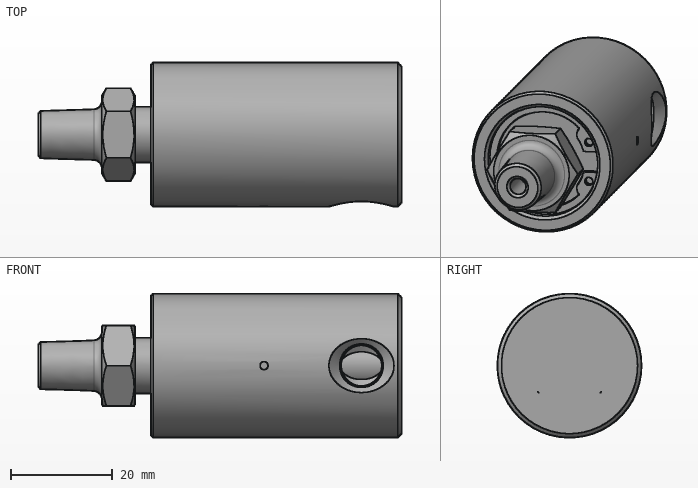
import cadquery as cq
import math

TOTAL_LENGTH = 71.48
FILLET_START_X = 10.87
HEX_START_X = 12.5
HEX_END_X = 19.05
BODY_START_X = 22.15

STEM_TIP_DIAMETER = 9.33
STEM_TAPER = 1 / 16
STEM_TIP_CHAMFER_LENGTH = 0.45
STEM_TIP_FACE_DIAMETER = 8.2
STEM_HOLE_DIAMETER = 3.2
STEM_HOLE_DEPTH = 10.0
STEM_COUNTERSINK_DIAMETER = 4.3

HEX_SIDES = 6
HEX_ACROSS_FLATS = 15.875
HEX_FACE_DIAMETER = 15.2
HEX_CHAMFER_ANGLE = 30.0
SHAFT_DIAMETER = 11.0

BODY_DIAMETER = 28.37
FRONT_CHAMFER = 0.45
REAR_CHAMFER = 0.8
BORE_DIAMETER = 22.07
BORE_MOUTH_DIAMETER = 23.3
BORE_DEPTH = 3.4

RING_THICKNESS = 1.2
RING_INNER_DIAMETER = 19.3
LUG_INNER_RADIUS = 8.1
RING_GAP = 4.14
LUG_INNER_END_ANGLE = 36.0
LUG_END_MIDDLE_RADIUS = 8.62
LUG_END_MIDDLE_ANGLE = 41.05
LUG_OUTER_END_ANGLE = 44.1
LUG_HOLE_DIAMETER = 1.6
LUG_HOLE_RADIUS = 9.72
LUG_HOLE_ANGLE = 23.8

PORT_X = 63.55
PORT_MOUTH_DIAMETER = 8.57
PORT_END_DIAMETER = 7.95
PORT_COUNTERSINK_ANGLE = 94.0
PORT_DRILL_ANGLE = 118.0
PORT_DRILL_DEPTH = 9.85
PORT_COUNTERSINK_REACH = 6.4
INNER_SHAFT_DIAMETER = 9.0
SIDE_HOLE_X = 44.4
SIDE_HOLE_DIAMETER = 1.57
SIDE_HOLE_DEPTH = 2.0

BODY_RADIUS = BODY_DIAMETER / 2
BORE_RADIUS = BORE_DIAMETER / 2
SHAFT_RADIUS = SHAFT_DIAMETER / 2
BORE_FLOOR_X = BODY_START_X + BORE_DEPTH


def revolve_about_x(outline):
    """Solid of revolution of an open half profile lying in the XY plane."""
    return outline.close().revolve(360, (0, 0, 0), (1, 0, 0))


def cylinder_along_x(start_x, end_x, radius):
    return cq.Workplane("YZ", origin=(start_x, 0, 0)).circle(radius).extrude(end_x - start_x)


def polar(radius, angle):
    """Point in the YZ plane, with the angle measured from -Y towards +Z."""
    radians = math.radians(angle)
    return (-radius * math.cos(radians), radius * math.sin(radians))


def make_body():
    """Cylindrical housing with a chamfered bore mouth at its front end."""
    body = cylinder_along_x(BODY_START_X, TOTAL_LENGTH, BODY_RADIUS)
    body = body.faces("<X").chamfer(FRONT_CHAMFER)
    body = body.faces(">X").chamfer(REAR_CHAMFER)
    mouth_radius = BORE_MOUTH_DIAMETER / 2
    mouth_chamfer = mouth_radius - BORE_RADIUS
    bore = revolve_about_x(
        cq.Workplane("XY")
        .moveTo(BODY_START_X, 0)
        .lineTo(BODY_START_X, mouth_radius)
        .lineTo(BODY_START_X + mouth_chamfer, BORE_RADIUS)
        .lineTo(BORE_FLOOR_X, BORE_RADIUS)
        .lineTo(BORE_FLOOR_X, 0)
    )
    return body.cut(bore)


def make_lug(ring_plane):
    """Thickened end of the retaining ring on the +Z side of its gap, with a pliers hole."""
    half_gap = RING_GAP / 2
    inner_gap_angle = math.degrees(math.asin(half_gap / LUG_INNER_RADIUS))
    outer_gap_angle = math.degrees(math.asin(half_gap / BORE_RADIUS))
    inner_mid_angle = (inner_gap_angle + LUG_INNER_END_ANGLE) / 2
    outer_mid_angle = (outer_gap_angle + LUG_OUTER_END_ANGLE) / 2
    lug = (
        ring_plane.moveTo(*polar(LUG_INNER_RADIUS, inner_gap_angle))
        .threePointArc(
            polar(LUG_INNER_RADIUS, inner_mid_angle),
            polar(LUG_INNER_RADIUS, LUG_INNER_END_ANGLE),
        )
        .threePointArc(
            polar(LUG_END_MIDDLE_RADIUS, LUG_END_MIDDLE_ANGLE),
            polar(RING_INNER_DIAMETER / 2, LUG_OUTER_END_ANGLE),
        )
        .lineTo(*polar(BORE_RADIUS, LUG_OUTER_END_ANGLE))
        .threePointArc(
            polar(BORE_RADIUS, outer_mid_angle),
            polar(BORE_RADIUS, outer_gap_angle),
        )
        .close()
        .extrude(RING_THICKNESS)
    )
    hole = (
        ring_plane.moveTo(*polar(LUG_HOLE_RADIUS, LUG_HOLE_ANGLE))
        .circle(LUG_HOLE_DIAMETER / 2)
        .extrude(RING_THICKNESS)
    )
    return lug.cut(hole)


def make_retaining_ring():
    """Open ring resting on the bore floor, with a lug on each side of its gap."""
    ring_plane = cq.Workplane("YZ", origin=(BORE_FLOOR_X - RING_THICKNESS, 0, 0))
    ring = ring_plane.circle(BORE_RADIUS).circle(RING_INNER_DIAMETER / 2).extrude(RING_THICKNESS)
    lug_sector = (
        ring_plane.moveTo(0, 0)
        .lineTo(*polar(BORE_DIAMETER, LUG_OUTER_END_ANGLE))
        .lineTo(*polar(BORE_DIAMETER, -LUG_OUTER_END_ANGLE))
        .close()
        .extrude(RING_THICKNESS)
    )
    upper_lug = make_lug(ring_plane)
    lower_lug = upper_lug.mirror("XY")
    return ring.cut(lug_sector).union(upper_lug).union(lower_lug)


def make_stem():
    """Tapered stem that flares into the hexagon through a concave fillet."""
    tip_radius = STEM_TIP_DIAMETER / 2
    root_radius = tip_radius + FILLET_START_X * STEM_TAPER / 2
    fillet_radius = HEX_START_X - FILLET_START_X
    chamfer_end_radius = tip_radius + STEM_TIP_CHAMFER_LENGTH * STEM_TAPER / 2
    arc_offset = fillet_radius * math.sqrt(0.5)
    arc_middle = (FILLET_START_X + arc_offset, root_radius + fillet_radius - arc_offset)
    return revolve_about_x(
        cq.Workplane("XY")
        .moveTo(0, 0)
        .lineTo(0, STEM_TIP_FACE_DIAMETER / 2)
        .lineTo(STEM_TIP_CHAMFER_LENGTH, chamfer_end_radius)
        .lineTo(FILLET_START_X, root_radius)
        .threePointArc(arc_middle, (HEX_START_X, root_radius + fillet_radius))
        .lineTo(HEX_START_X, 0)
    )


def make_hexagon():
    """Hexagon with corners on +Y and -Y, chamfered by a cone at both ends."""
    corner_diameter = HEX_ACROSS_FLATS / math.cos(math.pi / HEX_SIDES)
    corner_radius = corner_diameter / 2
    face_radius = HEX_FACE_DIAMETER / 2
    chamfer_length = (corner_radius - face_radius) * math.tan(math.radians(HEX_CHAMFER_ANGLE))
    prism = (
        cq.Workplane("YZ", origin=(HEX_START_X, 0, 0))
        .polygon(HEX_SIDES, corner_diameter)
        .extrude(HEX_END_X - HEX_START_X)
    )
    envelope = revolve_about_x(
        cq.Workplane("XY")
        .moveTo(HEX_START_X, 0)
        .lineTo(HEX_START_X, face_radius)
        .lineTo(HEX_START_X + chamfer_length, corner_radius)
        .lineTo(HEX_END_X - chamfer_length, corner_radius)
        .lineTo(HEX_END_X, face_radius)
        .lineTo(HEX_END_X, 0)
    )
    return prism.intersect(envelope)


def make_stem_hole():
    """Blind centre hole with a 45 degree countersink at the stem tip."""
    hole_radius = STEM_HOLE_DIAMETER / 2
    countersink_radius = STEM_COUNTERSINK_DIAMETER / 2
    return revolve_about_x(
        cq.Workplane("XY")
        .moveTo(0, 0)
        .lineTo(0, countersink_radius)
        .lineTo(countersink_radius - hole_radius, hole_radius)
        .lineTo(STEM_HOLE_DEPTH, hole_radius)
        .lineTo(STEM_HOLE_DEPTH, 0)
    )


def make_port():
    """Countersunk, slightly tapered port with a drill point, stopping at the inner shaft."""
    mouth_radius = PORT_MOUTH_DIAMETER / 2
    half_angle = math.radians(PORT_COUNTERSINK_ANGLE / 2)
    countersink_depth = (PORT_COUNTERSINK_REACH - mouth_radius) / math.tan(half_angle)
    countersink_end_y = -BODY_RADIUS + countersink_depth
    cone_start_y = -BODY_RADIUS + PORT_DRILL_DEPTH
    end_radius = PORT_END_DIAMETER / 2
    cone_length = end_radius / math.tan(math.radians(PORT_DRILL_ANGLE / 2))
    port = (
        cq.Workplane("XY", origin=(PORT_X, 0, 0))
        .moveTo(0, -BODY_RADIUS)
        .lineTo(PORT_COUNTERSINK_REACH, -BODY_RADIUS)
        .lineTo(mouth_radius, countersink_end_y)
        .lineTo(end_radius, cone_start_y)
        .lineTo(0, cone_start_y + cone_length)
        .close()
        .revolve(360, (0, 0, 0), (0, 1, 0))
    )
    return port.cut(cylinder_along_x(BORE_FLOOR_X, TOTAL_LENGTH, INNER_SHAFT_DIAMETER / 2))


def make_side_hole():
    """Small blind hole on the port side of the housing."""
    return (
        cq.Workplane("XZ", origin=(SIDE_HOLE_X, -BODY_RADIUS, 0))
        .circle(SIDE_HOLE_DIAMETER / 2)
        .extrude(-SIDE_HOLE_DEPTH)
    )


shaft = cylinder_along_x(HEX_END_X, BORE_FLOOR_X, SHAFT_RADIUS)
result = (
    make_body()
    .union(make_retaining_ring())
    .union(shaft)
    .union(make_hexagon())
    .union(make_stem())
    .cut(make_stem_hole())
    .cut(make_port())
    .cut(make_side_hole())
)